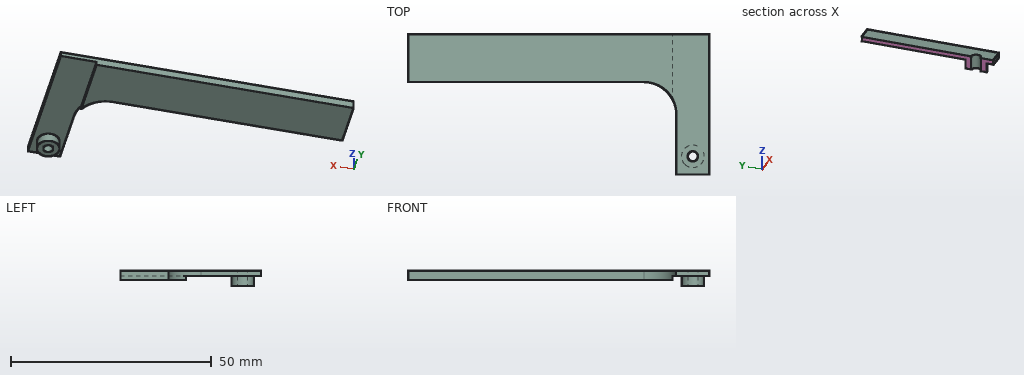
import cadquery as cq

length = 75.0
depth = 35.0
arm_width = 12.0
leg_width = 8.25
inner_radius = 8.0

total_height = 3.8
arm_thickness = 2.3
leg_thickness = 1.35

relief_width = 9.15

boss_diameter = 5.6
hole_diameter = 2.5
boss_end_offset = 4.6
boss_x = length - leg_width / 2
boss_y = boss_end_offset - depth


def make_plate():
    """L-shaped plate with its back left corner at the origin and its top at Z = 0."""
    leg_x = length - leg_width
    plate = (
        cq.Workplane("XY")
        .polyline([
            (0, 0),
            (length, 0),
            (length, -depth),
            (leg_x, -depth),
            (leg_x, -arm_width),
            (0, -arm_width),
        ])
        .close()
        .extrude(-arm_thickness)
    )
    inner_corner = cq.selectors.NearestToPointSelector((leg_x, -arm_width, -arm_thickness / 2))
    return plate.edges("|Z").edges(inner_corner).fillet(inner_radius)


def make_leg_relief():
    """Block that thins the leg side from below, over the full depth."""
    return cq.Workplane("XY").box(
        relief_width, depth, arm_thickness - leg_thickness, centered=False
    ).translate((length - relief_width, -depth, -arm_thickness))


def make_cylinder(diameter, top, bottom):
    """Vertical cylinder on the boss axis."""
    return (
        cq.Workplane("XY", origin=(boss_x, boss_y, bottom))
        .circle(diameter / 2)
        .extrude(top - bottom)
    )


plate = make_plate().cut(make_leg_relief())
boss = make_cylinder(boss_diameter, -leg_thickness, -total_height)
through_hole = make_cylinder(hole_diameter, 0, -total_height)
result = plate.union(boss).cut(through_hole)